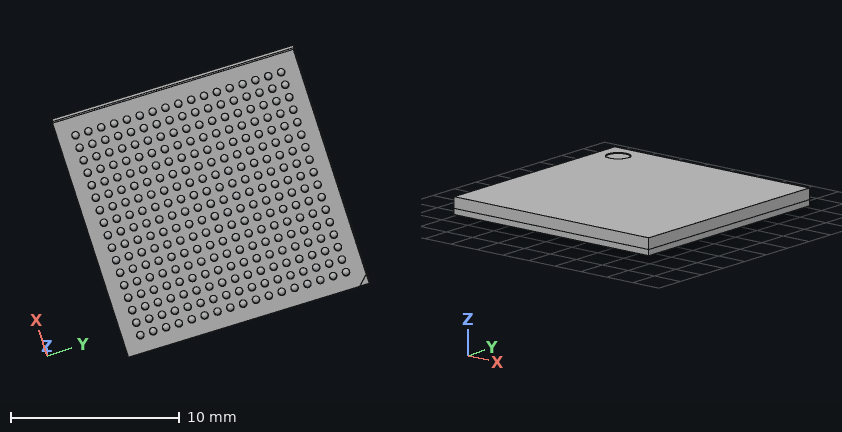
import cadquery as cq

package_side = 15.0
cap_height = 0.72
substrate_height = 0.39

ball_count = 17
grid_span = 12.8
ball_pitch = grid_span / (ball_count - 1)
ball_radius = 0.22
ball_drop = 0.3

dimple_radius = 0.75
dimple_inset = 1.5
dimple_depth = 0.06
corner_leg = 0.6
corner_depth = 0.05

substrate_bottom = ball_drop
substrate_top = substrate_bottom + substrate_height
cap_top = substrate_top + cap_height
half_side = package_side / 2


def square_slab(bottom, height):
    """Square plate centred on the Z axis, standing on the given level."""
    return cq.Workplane("XY", origin=(0, 0, bottom)).rect(package_side, package_side).extrude(height)


def make_cap():
    """Mould cap with the pin 1 dimple in its top face."""
    dimple = (
        cq.Workplane("XY", origin=(dimple_inset - half_side, half_side - dimple_inset, cap_top))
        .circle(dimple_radius)
        .extrude(-dimple_depth)
    )
    return square_slab(substrate_top, cap_height).cut(dimple)


def make_corner_recess():
    """Triangular cutter for the pin 1 corner of the underside."""
    return (
        cq.Workplane("XY", origin=(-half_side, half_side, substrate_bottom))
        .polyline([(0, 0), (corner_leg, 0), (0, -corner_leg)])
        .close()
        .extrude(corner_depth)
    )


def make_ball():
    """One solder ball at the origin, cut flat at the substrate underside."""
    sphere = cq.Workplane("XY", origin=(0, 0, ball_radius)).sphere(ball_radius)
    below_substrate = cq.Workplane("XY").rect(2 * ball_radius, 2 * ball_radius).extrude(ball_drop)
    return sphere.intersect(below_substrate)


def make_substrate():
    """Substrate plate with its square grid of solder balls."""
    plate = square_slab(substrate_bottom, substrate_height).cut(make_corner_recess())
    ball = make_ball().val()
    steps = [ball_pitch * i - grid_span / 2 for i in range(ball_count)]
    balls = [ball.moved(cq.Location(cq.Vector(x, y, 0))) for x in steps for y in steps]
    return cq.Workplane(plate.val().fuse(*balls))


cap = make_cap()
substrate = make_substrate()

result = cq.Compound.makeCompound([cap.val(), substrate.val()])